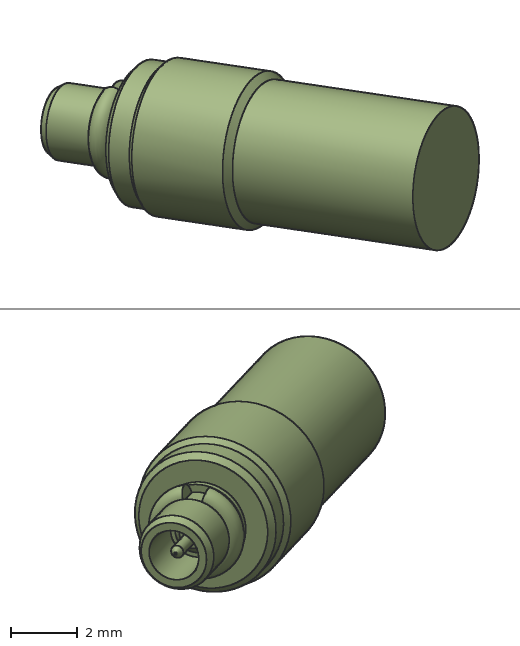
import cadquery as cq

LENGTH = 13.11
GROOVE_START = 1.66
COLLAR_START = 2.48
FLANGE_START = 2.7
SLEEVE_START = 3.59
SLEEVE_END = 7.04

TIP_RADIUS = 1.18
TIP_CHAMFER_LENGTH = 0.25
TIP_CHAMFER_DEPTH = 0.15
GROOVE_RADIUS = 1.1
COLLAR_RADIUS = 1.35
FLANGE_RADIUS = 2.24
FLANGE_CHAMFER = 0.2
MOUTH_RADIUS = 0.79
MOUTH_DEPTH = 1.97

SLEEVE_RADIUS = 2.41
SLEEVE_FRONT_CHAMFER = SLEEVE_RADIUS - FLANGE_RADIUS
TUBE_RADIUS = 2.19
SLEEVE_REAR_CHAMFER = SLEEVE_RADIUS - TUBE_RADIUS

RING_OUTER_RADIUS = 1.5
RING_SIDE_CLEARANCE = 0.02
RING_GAP_ANGLE = 30.0

INSULATOR_RADIUS = 0.64
INSULATOR_CHAMFER = 0.21
INSULATOR_START = MOUTH_DEPTH - INSULATOR_CHAMFER
PIN_RADIUS = 0.2
PIN_START = 0.15
PIN_POINT_LENGTH = 0.16
PIN_TIP_RADIUS = 0.04

FULL_TURN = 360.0


def revolve_about_x(profile, angle=FULL_TURN):
    """Revolve a profile of (x, radius) points, drawn in the XZ plane, about the X axis."""
    return profile.close().revolve(angle, (0, 0, 0), (1, 0, 0))


def make_shell():
    """Turned front shell: tip, ring groove, collar and flange, with a stepped bore."""
    outline = [
        (0, MOUTH_RADIUS),
        (0, TIP_RADIUS - TIP_CHAMFER_DEPTH),
        (TIP_CHAMFER_LENGTH, TIP_RADIUS),
        (GROOVE_START, TIP_RADIUS),
        (GROOVE_START, GROOVE_RADIUS),
        (COLLAR_START, GROOVE_RADIUS),
        (COLLAR_START, COLLAR_RADIUS),
        (FLANGE_START, COLLAR_RADIUS),
        (FLANGE_START, FLANGE_RADIUS - FLANGE_CHAMFER),
        (FLANGE_START + FLANGE_CHAMFER, FLANGE_RADIUS),
        (SLEEVE_START, FLANGE_RADIUS),
        (SLEEVE_START, INSULATOR_RADIUS),
        (MOUTH_DEPTH, INSULATOR_RADIUS),
        (MOUTH_DEPTH, MOUTH_RADIUS),
    ]
    return revolve_about_x(cq.Workplane("XZ").polyline(outline))


def make_snap_ring():
    """Ring with a straight-sided, round-topped section and a radial gap at the top."""
    front = GROOVE_START + RING_SIDE_CLEARANCE
    back = COLLAR_START - RING_SIDE_CLEARANCE
    section_radius = (back - front) / 2
    shoulder_radius = RING_OUTER_RADIUS - section_radius
    profile = (
        cq.Workplane("XZ")
        .moveTo(front, GROOVE_RADIUS)
        .lineTo(front, shoulder_radius)
        .threePointArc((front + section_radius, RING_OUTER_RADIUS), (back, shoulder_radius))
        .lineTo(back, GROOVE_RADIUS)
    )
    ring = revolve_about_x(profile, FULL_TURN - RING_GAP_ANGLE)
    return ring.rotate((0, 0, 0), (1, 0, 0), RING_GAP_ANGLE / 2)


def make_sleeve():
    """Largest-diameter sleeve, chamfered down to the flange and to the tail tube."""
    outline = [
        (SLEEVE_START, INSULATOR_RADIUS),
        (SLEEVE_START, FLANGE_RADIUS),
        (SLEEVE_START + SLEEVE_FRONT_CHAMFER, SLEEVE_RADIUS),
        (SLEEVE_END - SLEEVE_REAR_CHAMFER, SLEEVE_RADIUS),
        (SLEEVE_END, TUBE_RADIUS),
        (SLEEVE_END, INSULATOR_RADIUS),
    ]
    return revolve_about_x(cq.Workplane("XZ").polyline(outline))


def make_tail():
    """Plain round tail behind the sleeve."""
    return cq.Workplane("YZ").workplane(offset=SLEEVE_END).circle(TUBE_RADIUS).extrude(LENGTH - SLEEVE_END)


def make_insulator():
    """Insulator with a chamfered nose and a through hole for the pin."""
    outline = [
        (INSULATOR_START, PIN_RADIUS),
        (INSULATOR_START, INSULATOR_RADIUS - INSULATOR_CHAMFER),
        (MOUTH_DEPTH, INSULATOR_RADIUS),
        (SLEEVE_END, INSULATOR_RADIUS),
        (SLEEVE_END, PIN_RADIUS),
    ]
    return revolve_about_x(cq.Workplane("XZ").polyline(outline))


def make_pin():
    """Contact pin with a blunt conical point, running to the back of the insulator."""
    outline = [
        (PIN_START, 0),
        (PIN_START, PIN_TIP_RADIUS),
        (PIN_START + PIN_POINT_LENGTH, PIN_RADIUS),
        (SLEEVE_END, PIN_RADIUS),
        (SLEEVE_END, 0),
    ]
    return revolve_about_x(cq.Workplane("XZ").polyline(outline))


shell = make_shell()
snap_ring = make_snap_ring()
sleeve = make_sleeve()
tail = make_tail()
insulator = make_insulator()
pin = make_pin()

result = cq.Compound.makeCompound(
    [shell.val(), snap_ring.val(), sleeve.val(), tail.val(), insulator.val(), pin.val()]
)